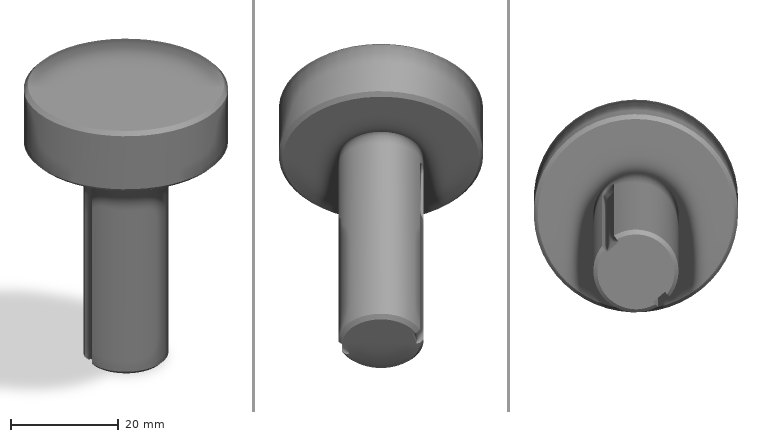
import cadquery as cq

total_height = 57.15
head_diameter = 38.1
head_height = 12.7
head_chamfer = 0.75
shaft_diameter = 15.9
shaft_chamfer = 0.75
slot_width = 3.0
slot_depth = 1.5
slot_length = 41.5

shaft_length = total_height - head_height
shaft_radius = shaft_diameter / 2
slot_radius = slot_width / 2
slot_straight_length = slot_length - slot_radius


def make_head():
    """Round head with both rims chamfered."""
    head = cq.Workplane("XY").workplane(offset=shaft_length)
    head = head.circle(head_diameter / 2).extrude(head_height)
    return head.edges().chamfer(head_chamfer)


def make_shaft():
    """Round shaft with its free end chamfered."""
    shaft = cq.Workplane("XY").circle(shaft_radius).extrude(shaft_length)
    return shaft.faces("<Z").edges().chamfer(shaft_chamfer)


def make_slot_cutter():
    """Flat-floored slot on the -Y side, open at the free end and rounded at the top."""
    return (
        cq.Workplane("XZ", origin=(0, -shaft_radius + slot_depth, 0))
        .moveTo(-slot_radius, 0)
        .lineTo(slot_radius, 0)
        .lineTo(slot_radius, slot_straight_length)
        .threePointArc((0, slot_length), (-slot_radius, slot_straight_length))
        .close()
        .extrude(slot_depth)
    )


result = make_head().union(make_shaft())
for slot_angle in (0, 180):
    result = result.cut(make_slot_cutter().rotate((0, 0, 0), (0, 0, 1), slot_angle))